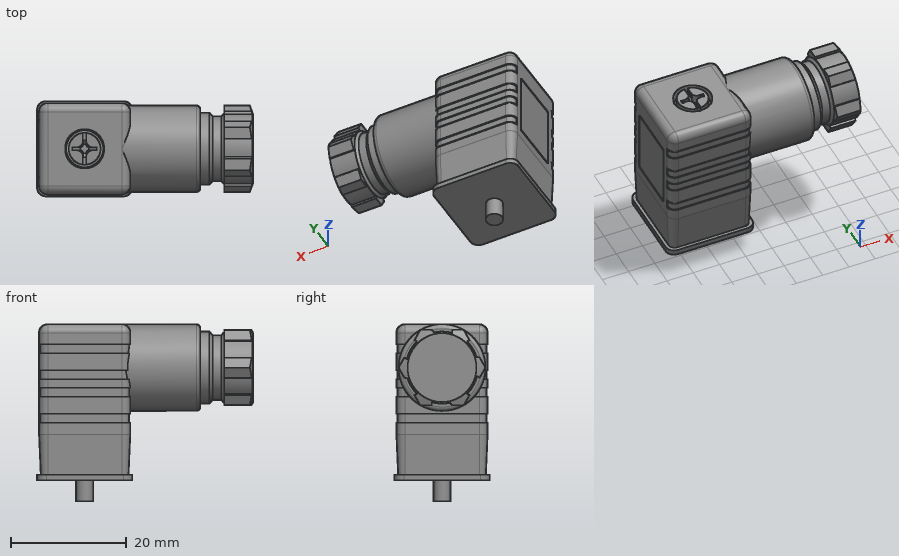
import cadquery as cq
import math


FLANGE_SIDE = 16.5
FLANGE_HEIGHT = 1.0
FLANGE_CORNER_RADIUS = 1.6

HOUSING_SIDE = 15.8
HOUSING_TOP = 27.0
HOUSING_RADIUS = 1.5
SKIRT_TOP = 8.0
SKIRT_INSET = 0.3
flat_half = HOUSING_SIDE / 2 - HOUSING_RADIUS

GROOVE_WIDTH = 1.5
GROOVE_DEPTH = 0.2
GROOVE_BOTTOMS = (10.0, 14.5, 17.5, 22.0)

LABEL_WIDTH = 10.0
LABEL_HEIGHT = 12.0
LABEL_BOTTOM = 10.0
LABEL_DEPTH = 0.1
LABEL_CORNER_RADIUS = 0.25

BARREL_RADIUS = 7.5
BARREL_END = 20.0
BARREL_END_RADIUS = 0.75
NECK_RADIUS = 6.25
NECK_END = 21.5
NECK_GROOVE_RADIUS = 5.63
NECK_GROOVE_END = 23.6
outlet_height = HOUSING_TOP - BARREL_RADIUS

NUT_FLATS = 13.0
NUT_START = 24.1
NUT_LENGTH = 5.0
NUT_TIP_RADIUS = 5.95
NUT_CHAMFER_LENGTH = 0.57
NUT_FACES = 6
nut_corner_radius = NUT_FLATS / math.sqrt(3)
nut_end = NUT_START + NUT_LENGTH

RECESS_HALF_WIDTH = 1.75
RECESS_FLOOR_RADIUS = 6.25
FLANK_DEPTH = 0.75
SLOPED_ENDS = {30: -1, 90: 1, 210: -1, 270: 1}

GAP_TOP_RADIUS = 3.4
GAP_BOTTOM_RADIUS = 3.2
GAP_DEPTH = 1.5
HEAD_RADIUS = 2.75
SLOT_WIDTH = 0.6
SLOT_DEPTH = 0.7
CROSS_WIDTH = 0.55
CROSS_TOP_HALF = 2.1
CROSS_BOTTOM_HALF = 0.75
CROSS_DEPTH = 1.5
STAR_TOP_ARM = 1.45
STAR_TOP_WAIST = 0.58
STAR_BOTTOM_WAIST = 0.42
SHANK_RADIUS = 1.5
SHANK_LENGTH = 3.61


def rounded_block(side, radius, bottom, top):
    block = cq.Workplane("XY").workplane(offset=bottom).rect(side, side).extrude(top - bottom)
    return block.edges("|Z").fillet(radius)


def make_groove(bottom):
    top = bottom + GROOVE_WIDTH
    core_side = HOUSING_SIDE - 2 * GROOVE_DEPTH
    ring = cq.Workplane("XY").workplane(offset=bottom).rect(FLANGE_SIDE, FLANGE_SIDE).extrude(GROOVE_WIDTH)
    ring = ring.cut(rounded_block(core_side, HOUSING_RADIUS - GROOVE_DEPTH, bottom, top))
    face = cq.Workplane("XY").workplane(offset=bottom).center(-FLANGE_SIDE / 2, 0)
    return ring.cut(face.rect(FLANGE_SIDE, 2 * flat_half).extrude(GROOVE_WIDTH))


def make_label_recess():
    recess = cq.Workplane("XY").box(2 * LABEL_DEPTH, LABEL_WIDTH, LABEL_HEIGHT)
    recess = recess.edges("|X").fillet(LABEL_CORNER_RADIUS)
    return recess.translate((-HOUSING_SIDE / 2, 0, LABEL_BOTTOM + LABEL_HEIGHT / 2))


def make_housing():
    upper = rounded_block(HOUSING_SIDE, HOUSING_RADIUS, SKIRT_TOP, HOUSING_TOP)
    upper = upper.faces(">Z").edges().fillet(HOUSING_RADIUS)
    for bottom in GROOVE_BOTTOMS:
        upper = upper.cut(make_groove(bottom))
    upper = upper.cut(make_label_recess())

    skirt_height = SKIRT_TOP - FLANGE_HEIGHT
    skirt_taper = math.degrees(math.atan(SKIRT_INSET / skirt_height))
    skirt = (
        cq.Workplane("XY", origin=(0, 0, SKIRT_TOP))
        .sketch()
        .rect(HOUSING_SIDE, HOUSING_SIDE)
        .vertices()
        .fillet(HOUSING_RADIUS)
        .finalize()
        .extrude(-skirt_height, taper=skirt_taper)
    )
    flange = rounded_block(FLANGE_SIDE, FLANGE_CORNER_RADIUS, 0, FLANGE_HEIGHT)
    return upper.union(skirt).union(flange)


def turned(outline):
    """Solid turned about the outlet axis from (x, radius) points."""
    profile = cq.Workplane("XY").polyline(outline).close()
    return profile.revolve(360, (0, 0, 0), (1, 0, 0)).translate((0, 0, outlet_height))


def make_outlet():
    barrel = turned([(0, 0), (0, BARREL_RADIUS), (BARREL_END, BARREL_RADIUS), (BARREL_END, 0)])
    barrel = barrel.faces(">X").edges().fillet(BARREL_END_RADIUS)
    groove_start = NECK_END + NECK_RADIUS - NECK_GROOVE_RADIUS
    collar_radius = NECK_GROOVE_RADIUS + NUT_START - NECK_GROOVE_END
    neck = turned([
        (0, 0),
        (0, NECK_RADIUS),
        (NECK_END, NECK_RADIUS),
        (groove_start, NECK_GROOVE_RADIUS),
        (NECK_GROOVE_END, NECK_GROOVE_RADIUS),
        (NUT_START, collar_radius),
        (NUT_START, 0),
    ])
    return barrel.union(neck)


def make_nut_recess(angle):
    """Recess in the nut face whose normal points at the given angle from +Y."""
    sloped_end = SLOPED_ENDS.get(angle, 0)
    face = NUT_FLATS / 2
    inner = face - FLANK_DEPTH
    left_inner = -RECESS_HALF_WIDTH
    right_inner = RECESS_HALF_WIDTH
    if sloped_end < 0:
        left_inner += FLANK_DEPTH
    elif sloped_end > 0:
        right_inner -= FLANK_DEPTH
    outline = [
        (face, -RECESS_HALF_WIDTH),
        (face, RECESS_HALF_WIDTH),
        (inner, right_inner),
        (inner, left_inner),
    ]
    recess = cq.Workplane("YZ").polyline(outline).close().extrude(NUT_LENGTH)
    recess = recess.cut(cq.Workplane("YZ").circle(RECESS_FLOOR_RADIUS).extrude(NUT_LENGTH))
    recess = recess.rotate((0, 0, 0), (1, 0, 0), angle)
    return recess.translate((NUT_START, 0, outlet_height))


def make_nut():
    """Hexagon nut with corners towards +Y and -Y and a chamfered free end."""
    nut = cq.Workplane("YZ").polygon(NUT_FACES, 2 * nut_corner_radius).extrude(NUT_LENGTH)
    nut = nut.translate((NUT_START, 0, outlet_height))
    face_step = 360 // NUT_FACES
    for angle in range(face_step // 2, 360, face_step):
        nut = nut.cut(make_nut_recess(angle))
    chamfered = turned([
        (NUT_START, 0),
        (NUT_START, nut_corner_radius),
        (nut_end - NUT_CHAMFER_LENGTH, nut_corner_radius),
        (nut_end, NUT_TIP_RADIUS),
        (nut_end, 0),
    ])
    return nut.intersect(chamfered)


def make_cross_wing():
    wing = [
        (-CROSS_TOP_HALF, 0),
        (CROSS_TOP_HALF, 0),
        (CROSS_BOTTOM_HALF, -CROSS_DEPTH),
        (-CROSS_BOTTOM_HALF, -CROSS_DEPTH),
    ]
    return cq.Workplane("XZ").polyline(wing).close().extrude(CROSS_WIDTH / 2, both=True)


def draw_star(plane, arm, waist):
    """Four-armed star whose sides bulge in between the arms."""
    half = CROSS_WIDTH / 2
    return (
        plane
        .moveTo(arm, half)
        .threePointArc((waist, waist), (half, arm))
        .lineTo(-half, arm)
        .threePointArc((-waist, waist), (-arm, half))
        .lineTo(-arm, -half)
        .threePointArc((-waist, -waist), (-half, -arm))
        .lineTo(half, -arm)
        .threePointArc((waist, -waist), (arm, -half))
        .close()
    )


def make_star_pocket():
    """Pocket narrowing from a wide star at the top to a small one at the bottom."""
    top = draw_star(cq.Workplane("XY"), STAR_TOP_ARM, STAR_TOP_WAIST)
    bottom_plane = top.workplane(offset=-CROSS_DEPTH)
    return draw_star(bottom_plane, CROSS_BOTTOM_HALF, STAR_BOTTOM_WAIST).loft(ruled=True)


def make_screw_recess():
    gap = (
        cq.Workplane("XZ")
        .polyline([
            (HEAD_RADIUS, 0),
            (GAP_TOP_RADIUS, 0),
            (GAP_BOTTOM_RADIUS, -GAP_DEPTH),
            (HEAD_RADIUS, -GAP_DEPTH),
        ])
        .close()
        .revolve(360, (0, 0, 0), (0, 1, 0))
    )
    slot_length = HEAD_RADIUS + GAP_BOTTOM_RADIUS
    slot = cq.Workplane("XY").rect(SLOT_WIDTH, slot_length).extrude(-SLOT_DEPTH)
    wing = make_cross_wing()
    recess = gap.union(slot).union(make_star_pocket()).union(wing)
    recess = recess.union(wing.rotate((0, 0, 0), (0, 0, 1), 90))
    return recess.translate((0, 0, HOUSING_TOP))


def make_shank():
    return cq.Workplane("XY").circle(SHANK_RADIUS).extrude(-SHANK_LENGTH)


result = (
    make_housing()
    .union(make_outlet())
    .union(make_nut())
    .cut(make_screw_recess())
    .union(make_shank())
)